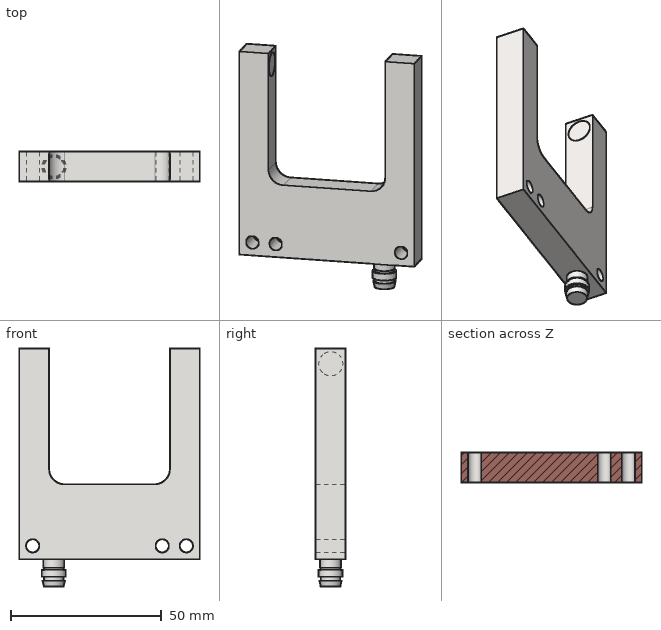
import cadquery as cq

body_width = 60.0
body_depth = 10.0
body_height = 70.0
prong_width = 10.0
bridge_height = 25.0
gap_corner_radius = 5.0
gap_width = body_width - 2 * prong_width

mount_hole_diameter = 4.3
mount_hole_height = 4.5
mount_hole_positions = (4.5, 47.5, 55.5)

window_diameter = 8.0
window_recess = 0.1
window_drop = 5.0

connector_x = 11.5
connector_radius = 3.5
neck_radius = 3.25
collar_radius = 4.0
tip_top_radius = 3.75
tip_end_radius = 3.3
shank_end = 2.7
collar_start = 3.5
collar_end = 5.8
tip_start = 7.0
connector_length = 9.0


def make_body():
    """Plate with its lower left front corner at the origin, opened into a fork."""
    plate = cq.Workplane("XY").box(body_width, body_depth, body_height, centered=False)
    gap = (
        cq.Workplane("XY")
        .box(gap_width, body_depth, body_height - bridge_height, centered=False)
        .edges("|Y and <Z")
        .fillet(gap_corner_radius)
        .translate((prong_width, 0, bridge_height))
    )
    return plate.cut(gap)


def make_mount_holes():
    """Cylinders running through the full depth of the bridge."""
    centers = [(x, mount_hole_height) for x in mount_hole_positions]
    return (
        cq.Workplane("XZ")
        .pushPoints(centers)
        .circle(mount_hole_diameter / 2)
        .extrude(-body_depth)
    )


def make_windows():
    """One disc reaching across the gap and slightly into both prongs."""
    return (
        cq.Workplane("YZ", origin=(prong_width - window_recess, 0, 0))
        .center(body_depth / 2, body_height - window_drop)
        .circle(window_diameter / 2)
        .extrude(gap_width + 2 * window_recess)
    )


def make_connector():
    """Stepped connector revolved about its vertical axis."""
    profile = [
        (0, 0),
        (connector_radius, 0),
        (connector_radius, -shank_end),
        (neck_radius, -shank_end),
        (neck_radius, -collar_start),
        (collar_radius, -collar_start),
        (collar_radius, -collar_end),
        (neck_radius, -collar_end),
        (neck_radius, -tip_start),
        (tip_top_radius, -tip_start),
        (tip_end_radius, -connector_length),
        (0, -connector_length),
    ]
    return (
        cq.Workplane("XZ")
        .polyline(profile)
        .close()
        .revolve(360, (0, 0, 0), (0, 1, 0))
        .translate((connector_x, body_depth / 2, 0))
    )


result = make_body().cut(make_mount_holes()).cut(make_windows()).union(make_connector())